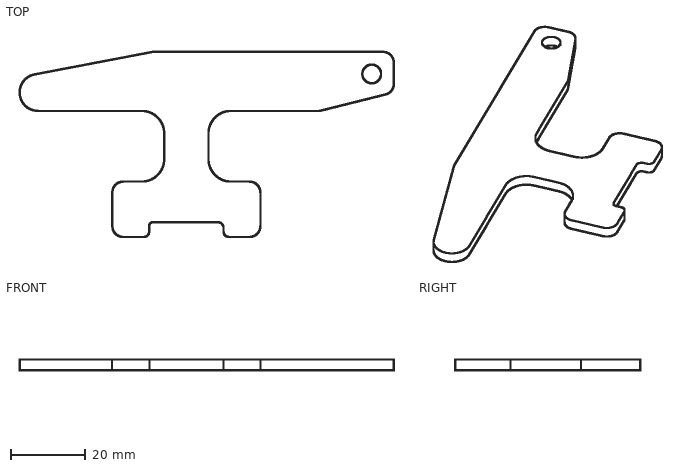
import cadquery as cq
import math

thickness = 3.0

foot_width = 40.0
foot_height = 15.0
foot_corner_radius = 3.0
notch_width = 20.0
notch_depth = 4.0
notch_mouth_radius = 1.5
notch_left_inner_radius = 1.0
notch_right_inner_radius = 1.5

stem_width = 12.0
stem_length = 19.0
stem_fillet_radius = 6.0

beam_height = 16.0
beam_left_reach = 45.0
beam_right_reach = 56.0
left_taper_start = -9.0
left_end_radius = 5.0
right_taper_length = 20.0
right_taper_rise = 5.0
right_corner_radius = 3.0

hole_diameter = 5.0
hole_edge_distance = 6.0

beam_bottom = foot_height + stem_length
beam_top = beam_bottom + beam_height
foot_top = foot_height
half_foot = foot_width / 2
half_stem = stem_width / 2
half_notch = notch_width / 2


def fillet_vertical_edges(body, points, radius):
    """Round the upright edges of the plate that pass through the given XY points."""
    reach = 0.01
    for x, y in points:
        picker = cq.selectors.BoxSelector(
            (x - reach, y - reach, -reach),
            (x + reach, y + reach, thickness + reach),
            boundingbox=True,
        )
        body = body.edges(picker).fillet(radius)
    return body


def mirrored(x, y):
    """The two points placed symmetrically about the stem centreline."""
    return [(-x, y), (x, y)]


def make_beam():
    """Beam with a round left end tangent to its lower edge and to its upper taper."""
    end_x = -beam_left_reach + left_end_radius
    end_y = beam_bottom + left_end_radius

    run = left_taper_start - end_x
    rise = beam_top - end_y
    taper_angle = math.atan2(rise, run) - math.asin(left_end_radius / math.hypot(run, rise))
    tangent_x = end_x - left_end_radius * math.sin(taper_angle)
    tangent_y = end_y + left_end_radius * math.cos(taper_angle)

    right_lower_corner = (beam_right_reach, beam_bottom + right_taper_rise)
    right_upper_corner = (beam_right_reach, beam_top)
    beam = (
        cq.Workplane("XY")
        .moveTo(end_x, beam_bottom)
        .lineTo(beam_right_reach - right_taper_length, beam_bottom)
        .lineTo(*right_lower_corner)
        .lineTo(*right_upper_corner)
        .lineTo(left_taper_start, beam_top)
        .lineTo(tangent_x, tangent_y)
        .threePointArc((-beam_left_reach, end_y), (end_x, beam_bottom))
        .close()
        .extrude(thickness)
    )
    return fillet_vertical_edges(beam, [right_lower_corner, right_upper_corner], right_corner_radius)


def make_foot():
    """Rounded rectangular foot with a notch in the middle of its lower edge."""
    foot = cq.Workplane("XY").rect(foot_width, foot_height).extrude(thickness)
    foot = foot.translate((0, foot_height / 2, 0))
    notch = cq.Workplane("XY").rect(notch_width, 2 * notch_depth).extrude(thickness)
    foot = foot.cut(notch)
    outer_corners = mirrored(half_foot, 0) + mirrored(half_foot, foot_top)
    foot = fillet_vertical_edges(foot, outer_corners, foot_corner_radius)
    foot = fillet_vertical_edges(foot, mirrored(half_notch, 0), notch_mouth_radius)
    foot = fillet_vertical_edges(foot, [(-half_notch, notch_depth)], notch_left_inner_radius)
    return fillet_vertical_edges(foot, [(half_notch, notch_depth)], notch_right_inner_radius)


def make_stem():
    """Straight stem between the foot and the beam."""
    stem = cq.Workplane("XY").rect(stem_width, stem_length).extrude(thickness)
    return stem.translate((0, foot_top + stem_length / 2, 0))


def cut_hole(body):
    """Through hole near the right end of the beam."""
    hole = (
        cq.Workplane("XY")
        .center(beam_right_reach - hole_edge_distance, beam_top - hole_edge_distance)
        .circle(hole_diameter / 2)
        .extrude(thickness)
    )
    return body.cut(hole)


plate = make_beam().union(make_stem()).union(make_foot())
stem_corners = mirrored(half_stem, foot_top) + mirrored(half_stem, beam_bottom)
plate = fillet_vertical_edges(plate, stem_corners, stem_fillet_radius)
result = cut_hole(plate)